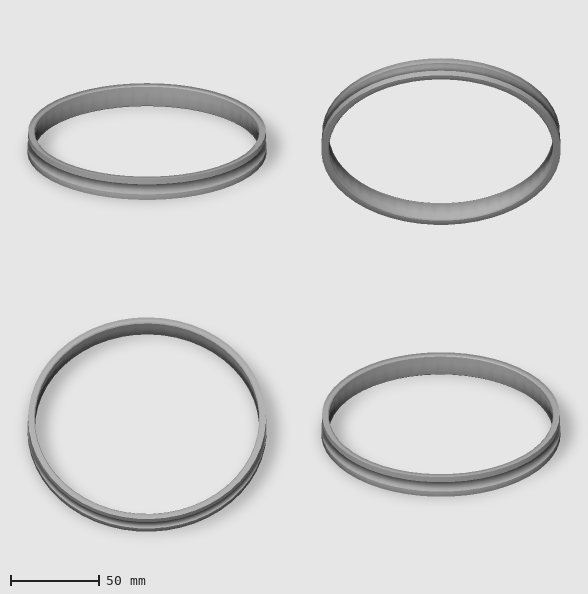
import cadquery as cq

height = 12.7
lower_flange_diameter = 135.5
upper_flange_diameter = 134.6
bore_diameter = 127.0
flange_height = 3.4
groove_root_diameter = 130.5
bore_chamfer = 0.5

lower_radius = lower_flange_diameter / 2
upper_radius = upper_flange_diameter / 2
bore_radius = bore_diameter / 2
root_radius = groove_root_diameter / 2
groove_top = height - flange_height

section = (
    cq.Workplane("XZ")
    .moveTo(bore_radius + bore_chamfer, 0)
    .lineTo(lower_radius, 0)
    .lineTo(lower_radius, flange_height)
    .threePointArc((root_radius, height / 2), (upper_radius, groove_top))
    .lineTo(upper_radius, height)
    .lineTo(bore_radius + bore_chamfer, height)
    .lineTo(bore_radius, height - bore_chamfer)
    .lineTo(bore_radius, bore_chamfer)
    .close()
)

result = section.revolve(360, (0, 0, 0), (0, 1, 0))